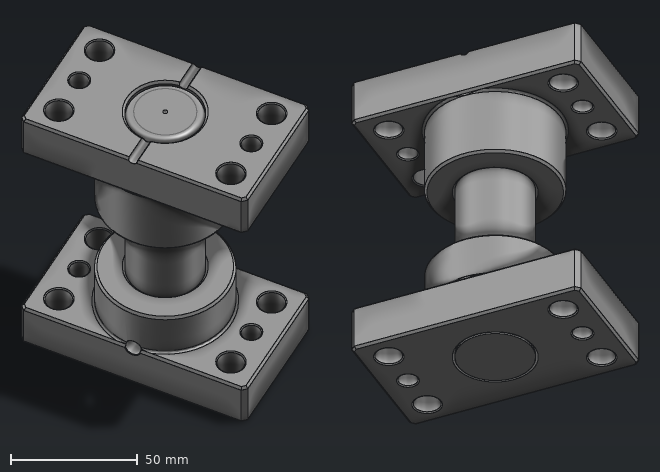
import cadquery as cq

total_height = 130.0

plate_length = 100.0
plate_width = 58.0
plate_thickness = 20.0
edge_chamfer = 1.0
corner_chamfer = 2.0

boss_diameter = plate_width - 2 * edge_chamfer
boss_radius = boss_diameter / 2
lower_boss_height = plate_thickness
upper_boss_height = 30.0
boss_root_fillet = edge_chamfer

pin_diameter = 32.0
pin_radius = pin_diameter / 2
pin_end_fillet = 3.5
center_mark_diameter = 2.0

hole_spacing_x = 76.0
bolt_spacing_y = 36.0
bolt_hole_diameter = 11.0
dowel_hole_diameter = 8.0
hole_chamfer = 0.5

port_diameter = 6.6
port_chamfer = 0.3
groove_radius = 2.0


def make_plate():
    """Plate lying on Z = 0, with beveled corners and rims."""
    return (
        cq.Workplane("XY")
        .box(plate_length, plate_width, plate_thickness, centered=(True, True, False))
        .edges("|Z")
        .chamfer(corner_chamfer)
        .faces("<Z or >Z")
        .edges()
        .chamfer(edge_chamfer)
    )


def make_boss(height):
    """Round boss on the plate, with a filleted root that stays on the flat of the plate face."""
    top = plate_thickness + height
    boss = (
        cq.Workplane("XZ")
        .moveTo(0, plate_thickness)
        .lineTo(boss_radius + boss_root_fillet, plate_thickness)
        .radiusArc((boss_radius, plate_thickness + boss_root_fillet), boss_root_fillet)
        .lineTo(boss_radius, top - edge_chamfer)
        .lineTo(boss_radius - edge_chamfer, top)
        .lineTo(0, top)
        .close()
        .revolve(360, (0, 0, 0), (0, 1, 0))
    )
    plate_flat = cq.Workplane("XY").box(
        plate_length, boss_diameter, top, centered=(True, True, False)
    )
    return boss.intersect(plate_flat)


def hole_cutter(diameter, length, chamfer):
    """Drill through from Z = 0 to Z = length, flared at both mouths."""
    radius = diameter / 2
    return (
        cq.Workplane("XZ")
        .moveTo(0, 0)
        .lineTo(radius + chamfer, 0)
        .lineTo(radius, chamfer)
        .lineTo(radius, length - chamfer)
        .lineTo(radius + chamfer, length)
        .lineTo(0, length)
        .close()
        .revolve(360, (0, 0, 0), (0, 1, 0))
    )


def make_block(boss_height):
    """Plate with its boss pointing up, bored for the pin and drilled for mounting."""
    block = make_plate().union(make_boss(boss_height))
    block = block.cut(hole_cutter(pin_diameter, plate_thickness + boss_height, edge_chamfer))

    bolt_hole = hole_cutter(bolt_hole_diameter, plate_thickness, hole_chamfer)
    dowel_hole = hole_cutter(dowel_hole_diameter, plate_thickness, hole_chamfer)
    for side in (-1, 1):
        x = side * hole_spacing_x / 2
        block = block.cut(dowel_hole.translate((x, 0, 0)))
        for end in (-1, 1):
            block = block.cut(bolt_hole.translate((x, end * bolt_spacing_y / 2, 0)))
    return block


def make_lower_block():
    """Block standing on its plate, with a radial port from the -Y side into the bore."""
    port = (
        hole_cutter(port_diameter, plate_width / 2, port_chamfer)
        .rotate((0, 0, 0), (1, 0, 0), -90)
        .translate((0, -plate_width / 2, plate_thickness))
    )
    return make_block(lower_boss_height).cut(port)


def make_upper_block():
    """Block hanging boss down, with a round groove across its outer face."""
    block = (
        make_block(upper_boss_height)
        .rotate((0, 0, 0), (1, 0, 0), 180)
        .translate((0, 0, total_height))
    )
    groove = (
        cq.Workplane("XZ")
        .moveTo(-groove_radius, total_height + groove_radius)
        .lineTo(-groove_radius, total_height)
        .threePointArc((0, total_height - groove_radius), (groove_radius, total_height))
        .lineTo(groove_radius, total_height + groove_radius)
        .close()
        .extrude(plate_width / 2, both=True)
    )
    return block.cut(groove)


def make_pin():
    """Pin through both blocks, rounded at the top and with a conical center mark."""
    pin = cq.Workplane("XY").circle(pin_radius).extrude(total_height)
    pin = pin.faces(">Z").edges().fillet(pin_end_fillet)
    center_mark = cq.Solid.makeCone(
        center_mark_diameter / 2,
        0,
        center_mark_diameter / 2,
        pnt=cq.Vector(0, 0, total_height),
        dir=cq.Vector(0, 0, -1),
    )
    return pin.cut(cq.Workplane(center_mark))


lower_block = make_lower_block()
upper_block = make_upper_block()
pin = make_pin()

result = cq.Compound.makeCompound([lower_block.val(), upper_block.val(), pin.val()])